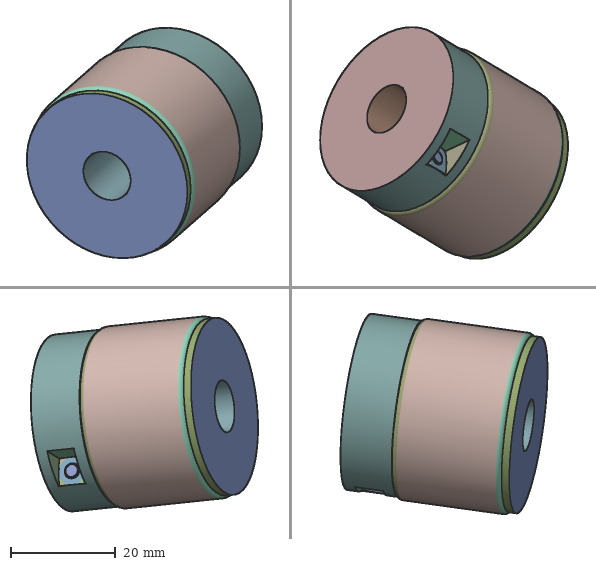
import cadquery as cq
import math


SLEEVE_RADIUS = 17.5
HUB_RADIUS = 17.0
BORE_RADIUS = 5.0
LENGTH = 33.0
FLANGE_THICKNESS = 1.5
HUB_LENGTH = 10.0
SLEEVE_END_FILLET = 1.0
SLEEVE_WALL = 2.5
SPOOL_RADIUS = SLEEVE_RADIUS - SLEEVE_WALL
HUB_FRONT = LENGTH - HUB_LENGTH
SLEEVE_LENGTH = HUB_FRONT - FLANGE_THICKNESS

NUT_WIDTH = 5.5
NUT_THICKNESS = 2.4
NUT_FACE_X = -8.4
NUT_CONE_ANGLE = 15.0
SCREW_RADIUS = 1.5
SCREW_CHAMFER = 0.25
SCREW_Y = LENGTH - HUB_LENGTH / 2
SCREW_Z = -12.0
POCKET_FLOOR_X = NUT_FACE_X + NUT_THICKNESS


def ring(outer_radius, inner_radius, y_start, length):
    """Plain tube around the roller axis, running toward +Y from y_start."""
    plane = cq.Plane(origin=(0, y_start, 0), xDir=(1, 0, 0), normal=(0, 1, 0))
    return cq.Workplane(plane).circle(outer_radius).circle(inner_radius).extrude(length)


def screw_plane(x):
    """Workplane on the screw axis at the given X, facing outward (-X)."""
    plane = cq.Plane(origin=(x, SCREW_Y, SCREW_Z), xDir=(0, 1, 0), normal=(-1, 0, 0))
    return cq.Workplane(plane)


def make_spool():
    """Front flange and the tube that carries the sleeve."""
    flange = ring(HUB_RADIUS, BORE_RADIUS, 0, FLANGE_THICKNESS)
    tube = ring(SPOOL_RADIUS, BORE_RADIUS, 0, HUB_FRONT)
    return flange.union(tube)


def make_sleeve():
    """Outer sleeve between flange and hub, rounded at both outer ends."""
    sleeve = ring(SLEEVE_RADIUS, SPOOL_RADIUS, FLANGE_THICKNESS, SLEEVE_LENGTH)
    outer_rims = sleeve.edges(cq.selectors.RadiusNthSelector(-1))
    return outer_rims.fillet(SLEEVE_END_FILLET)


def make_hub():
    """Back hub with a square pocket for the nut, open toward -X."""
    hub = ring(HUB_RADIUS, BORE_RADIUS, HUB_FRONT, HUB_LENGTH)
    pocket_depth = HUB_RADIUS + POCKET_FLOOR_X
    pocket = screw_plane(POCKET_FLOOR_X).rect(NUT_WIDTH, NUT_WIDTH).extrude(pocket_depth)
    return hub.cut(pocket)


def make_nut():
    """Square nut whose outer corners are turned to a cone around a round face."""
    nut = screw_plane(POCKET_FLOOR_X).rect(NUT_WIDTH, NUT_WIDTH).extrude(NUT_THICKNESS)
    face_radius = NUT_WIDTH / 2
    base_radius = face_radius + NUT_THICKNESS / math.tan(math.radians(NUT_CONE_ANGLE))
    cone = cq.Workplane(
        cq.Solid.makeCone(
            base_radius,
            face_radius,
            NUT_THICKNESS,
            cq.Vector(POCKET_FLOOR_X, SCREW_Y, SCREW_Z),
            cq.Vector(-1, 0, 0),
        )
    )
    bore = screw_plane(POCKET_FLOOR_X).circle(SCREW_RADIUS).extrude(NUT_THICKNESS)
    return nut.intersect(cone).cut(bore)


def make_screw():
    """Screw filling the nut; its chamfered tip stands just proud of the nut face."""
    length = NUT_THICKNESS + SCREW_CHAMFER
    screw = screw_plane(POCKET_FLOOR_X).circle(SCREW_RADIUS).extrude(length)
    return screw.faces("<X").chamfer(SCREW_CHAMFER)


spool = make_spool()
sleeve = make_sleeve()
hub = make_hub()
nut = make_nut()
screw = make_screw()

result = cq.Compound.makeCompound([spool.val(), sleeve.val(), hub.val(), nut.val(), screw.val()])